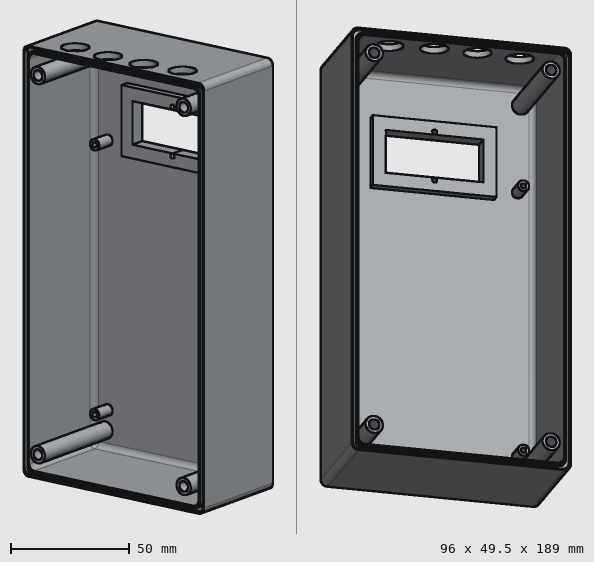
import cadquery as cq

width = 96.0
height = 189.0
depth = 47.5
corner_radius = 3.0
wall = 3.0
floor_thickness = 3.0
cavity_fillet = 2.6

lip_thickness = 0.5
tongue_thickness = 0.81
groove_depth = 1.9

post_diameter = 7.5
post_bore = 4.5
post_bore_depth = 18.9
post_x = 38.7
post_z = 83.2
post_protrusion = 2.0

standoff_diameter = 5.0
standoff_bore = 2.3
standoff_length = 9.0
standoff_x = 37.5
standoff_top_z = 44.2
standoff_bottom_z = -74.0

window_z = 55.5
window_width = 42.7
window_height = 19.0
frame_width = 54.0
frame_height = 31.2
frame_rise = 4.0
notch_diameter = 2.0
notch_offset = 10.8

cable_hole_diameter = 12.0
outer_cable_hole = (28.5, 37.0)
inner_cable_hole = (9.5, 39.1)

inside_width = width - 2 * wall
inside_height = height - 2 * wall
post_tip = depth + post_protrusion
frame_top = floor_thickness + frame_rise

root = floor_thickness / 2


def block(size_x, size_z, back, length, z=0):
    """Block of the given face size, starting `back` in front of the back face and running toward -Y."""
    return cq.Workplane("XZ", origin=(0, -back, z)).rect(size_x, size_z).extrude(length)


def rods(points, diameter, back, length):
    """Parallel cylinders at (X, Z) points, starting `back` in front of the back face and running toward -Y."""
    return cq.Workplane("XZ", origin=(0, -back, 0)).pushPoints(points).circle(diameter / 2).extrude(length)


def rim_slab(inset, radius):
    """Rounded slab as deep as the groove, its outline inset from the outside of the shell."""
    slab = block(width - 2 * inset, height - 2 * inset, depth - groove_depth, groove_depth)
    return slab.edges("|Y").fillet(radius)


def make_rim_groove():
    lip_inside = rim_slab(lip_thickness, corner_radius)
    tongue = rim_slab(wall - tongue_thickness, cavity_fillet)
    return lip_inside.cut(tongue)


def make_shell():
    outside = block(width, height, 0, depth).edges("|Y").fillet(corner_radius)
    cavity = block(inside_width, inside_height, floor_thickness, depth)
    cavity = cavity.edges("|Y or >Y").fillet(cavity_fillet)
    return outside.cut(cavity).cut(make_rim_groove())


result = make_shell()

result = result.union(block(frame_width, frame_height, 0, frame_top, window_z))
result = result.cut(block(window_width, window_height, 0, frame_top, window_z))
notches = [(0, window_z + side * notch_offset) for side in (-1, 1)]
result = result.cut(rods(notches, notch_diameter, 0, frame_top))

posts = [(x, z) for x in (-post_x, post_x) for z in (-post_z, post_z)]
result = result.union(rods(posts, post_diameter, root, post_tip - root))
result = result.cut(rods(posts, post_bore, post_tip - post_bore_depth, post_bore_depth))

standoffs = [(x, z) for x in (-standoff_x, standoff_x) for z in (standoff_bottom_z, standoff_top_z)]
result = result.union(rods(standoffs, standoff_diameter, root, floor_thickness + standoff_length - root))
result = result.cut(rods(standoffs, standoff_bore, floor_thickness, standoff_length))

holes = [(side * x, -back) for x, back in (outer_cable_hole, inner_cable_hole) for side in (-1, 1)]
drill = (
    cq.Workplane("XY", origin=(0, 0, height / 2 - 2 * wall))
    .pushPoints(holes)
    .circle(cable_hole_diameter / 2)
    .extrude(2 * wall)
)
result = result.cut(drill)